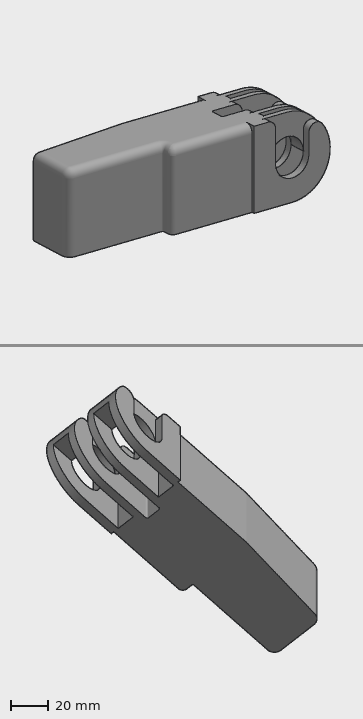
import cadquery as cq
import math

LENGTH = 168.3
FORK_SIZE = 50.8
EYE_RADIUS = FORK_SIZE / 2
FORK_END_Y = -EYE_RADIUS
HANDLE_END_Y = EYE_RADIUS - LENGTH

BORE_DIAMETER = 22.2
BORE_RADIUS = BORE_DIAMETER / 2

GAP_WIDTH = 9.6
GAP_DEPTH = 56.9
GAP_CORNER_RADIUS = 1.0

OUTER_RECESS_DEPTH = 5.0
INNER_RECESS_DEPTH = 4.5
RECESS_LIP_RADIUS = 5.0

TAB_SLOT_WIDTH = 4.0
TAB_SLOT_REAR_Y = -12.8
TAB_SLOT_DEPTH = 10.0

WEB_UNDERSIDE_Z = EYE_RADIUS

HANDLE_WIDTH = 47.3
STEP_Y = -79.3
NOTCHED_SIDE_X = 16.0
TAPER_ANGLE = 5.0
HANDLE_FILLET = 5.0
STEP_OUTER_RADIUS = 3.2
STEP_INNER_RADIUS = 0.8


def box_between(x_range, y_range, z_range):
    """Axis-aligned box given by its lower and upper limit on each axis."""
    ranges = (x_range, y_range, z_range)
    sizes = [high - low for low, high in ranges]
    corner = tuple(low for low, high in ranges)
    return cq.Workplane("XY").box(*sizes, centered=False).translate(corner)


def extrude_along_x(profile, x_start, x_end):
    """Extrude a YZ profile between two X positions."""
    return profile.extrude(x_end - x_start).translate((x_start, 0, 0))


def make_fork_block():
    profile = (
        cq.Workplane("YZ")
        .moveTo(FORK_END_Y, 0)
        .lineTo(0, 0)
        .threePointArc((EYE_RADIUS, EYE_RADIUS), (0, FORK_SIZE))
        .lineTo(FORK_END_Y, FORK_SIZE)
        .close()
    )
    return extrude_along_x(profile, -FORK_SIZE / 2, FORK_SIZE / 2)


def make_handle():
    half_width = HANDLE_WIDTH / 2
    taper_run = (STEP_Y - HANDLE_END_Y) * math.tan(math.radians(TAPER_ANGLE))
    taper_end_x = -half_width + taper_run
    handle = (
        cq.Workplane("XY")
        .polyline([
            (-half_width, FORK_END_Y),
            (half_width, FORK_END_Y),
            (half_width, STEP_Y),
            (NOTCHED_SIDE_X, STEP_Y),
            (NOTCHED_SIDE_X, HANDLE_END_Y),
            (taper_end_x, HANDLE_END_Y),
            (-half_width, STEP_Y),
        ])
        .close()
        .extrude(FORK_SIZE)
    )

    def upright_edge(x, y):
        return cq.selectors.NearestToPointSelector((x, y, FORK_SIZE / 2))

    handle = handle.edges(upright_edge(NOTCHED_SIDE_X, HANDLE_END_Y)).fillet(HANDLE_FILLET)
    handle = handle.edges(upright_edge(taper_end_x, HANDLE_END_Y)).fillet(HANDLE_FILLET)
    handle = handle.edges(upright_edge(NOTCHED_SIDE_X, STEP_Y)).fillet(STEP_INNER_RADIUS)
    handle = handle.faces(">Z").edges("not >Y").fillet(HANDLE_FILLET)
    return handle.edges(upright_edge(half_width, STEP_Y)).fillet(STEP_OUTER_RADIUS)


def recess_profile():
    """Bore-wide channel, round at the bottom, with rounded lips where it breaks out on top."""
    lip = RECESS_LIP_RADIUS
    front_lip_y = BORE_RADIUS + lip
    lip_reach = EYE_RADIUS - lip
    front_lip_z = EYE_RADIUS + math.sqrt(lip_reach**2 - front_lip_y**2)
    tangent_y = front_lip_y * EYE_RADIUS / lip_reach
    tangent_z = EYE_RADIUS + (front_lip_z - EYE_RADIUS) * EYE_RADIUS / lip_reach
    eye_angle = math.atan2(tangent_z - front_lip_z, tangent_y - front_lip_y)
    mid_angle = (eye_angle + math.pi) / 2
    front_lip_middle = (
        front_lip_y + lip * math.cos(mid_angle),
        front_lip_z + lip * math.sin(mid_angle),
    )
    rear_lip_z = FORK_SIZE - lip
    diagonal = lip * math.sqrt(0.5)
    rear_lip_middle = (-BORE_RADIUS - lip + diagonal, rear_lip_z + diagonal)
    return (
        cq.Workplane("YZ")
        .moveTo(-BORE_RADIUS, EYE_RADIUS)
        .threePointArc((0, EYE_RADIUS - BORE_RADIUS), (BORE_RADIUS, EYE_RADIUS))
        .lineTo(BORE_RADIUS, front_lip_z)
        .threePointArc(front_lip_middle, (tangent_y, tangent_z))
        .lineTo(tangent_y, FORK_SIZE)
        .lineTo(-BORE_RADIUS - lip, FORK_SIZE)
        .threePointArc(rear_lip_middle, (-BORE_RADIUS, rear_lip_z))
        .close()
    )


def make_gap():
    gap = box_between(
        (-GAP_WIDTH / 2, GAP_WIDTH / 2),
        (EYE_RADIUS - GAP_DEPTH, EYE_RADIUS),
        (0, FORK_SIZE),
    )
    return gap.edges("|Z and <Y").fillet(GAP_CORNER_RADIUS)


def cut_lugs(body):
    """Cut the recesses, the thin slot and the undercut of the +X lug, then mirror them to the other."""
    lug_inner_x = GAP_WIDTH / 2
    lug_outer_x = FORK_SIZE / 2
    web_inner_x = lug_inner_x + INNER_RECESS_DEPTH
    web_outer_x = lug_outer_x - OUTER_RECESS_DEPTH
    web_middle_x = (web_inner_x + web_outer_x) / 2
    slot = box_between(
        (web_middle_x - TAB_SLOT_WIDTH / 2, web_middle_x + TAB_SLOT_WIDTH / 2),
        (TAB_SLOT_REAR_Y, EYE_RADIUS),
        (FORK_SIZE - TAB_SLOT_DEPTH, FORK_SIZE),
    )
    undercut = box_between(
        (web_inner_x, web_outer_x),
        (FORK_END_Y, EYE_RADIUS),
        (0, WEB_UNDERSIDE_Z),
    )
    cutter = (
        extrude_along_x(recess_profile(), lug_inner_x, web_inner_x)
        .union(extrude_along_x(recess_profile(), web_outer_x, lug_outer_x))
        .union(slot)
        .union(undercut)
    )
    return body.cut(cutter).cut(cutter.mirror("YZ"))


bore = extrude_along_x(
    cq.Workplane("YZ").center(0, EYE_RADIUS).circle(BORE_RADIUS), -FORK_SIZE / 2, FORK_SIZE / 2
)
result = make_fork_block().union(make_handle()).cut(make_gap()).cut(bore)
result = cut_lugs(result)